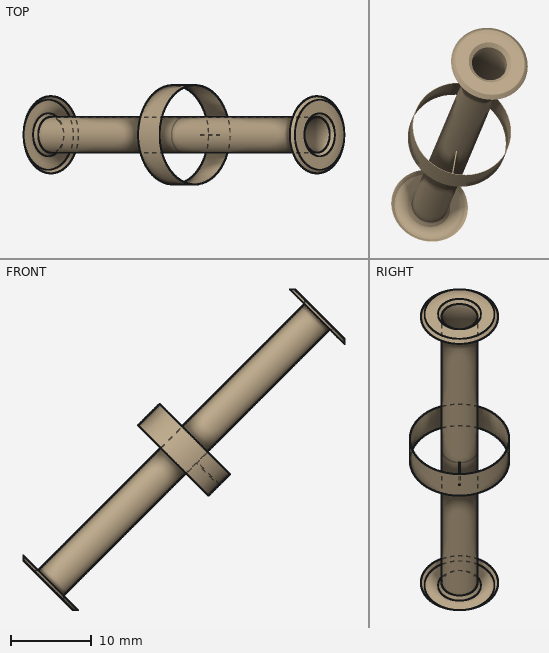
import cadquery as cq
import math

overall_length = 39.8
lean_angle = 45.0

wall = 0.06
tube_radius = 4.5 / 2
rim_radius = 4.8
dish_depth = 0.48

band_radius = 12.37 / 2
band_width = 3.78
spoke_diameter = 0.15

rim_height = overall_length / 2 / math.sin(math.radians(lean_angle)) - rim_radius
face_height = rim_height + dish_depth
face_outer_radius = rim_radius - dish_depth
face_inner_radius = tube_radius - wall + dish_depth


def make_flanged_tube():
    """Half of the wall section, revolved about Z and mirrored to the other end.

    Both cones slope at 45 degrees, so the dish has a constant axial thickness.
    """
    upper_half = (
        cq.Workplane("XZ")
        .moveTo(tube_radius, 0)
        .lineTo(tube_radius, rim_height)
        .lineTo(face_inner_radius, face_height - wall)
        .lineTo(face_outer_radius, face_height - wall)
        .lineTo(rim_radius - wall, rim_height)
        .lineTo(rim_radius, rim_height)
        .lineTo(face_outer_radius, face_height)
        .lineTo(face_inner_radius, face_height)
        .lineTo(tube_radius - wall, rim_height)
        .lineTo(tube_radius - wall, 0)
        .close()
        .revolve(360, (0, 0, 0), (0, 1, 0))
    )
    return upper_half.union(upper_half.mirror("XY"))


def make_band():
    """Plain open ring, centred on the tube."""
    return (
        cq.Workplane("XY", origin=(0, 0, -band_width / 2))
        .circle(band_radius)
        .circle(band_radius - wall)
        .extrude(band_width)
    )


def make_spoke():
    """Fine wire that joins the band to the tube on the underside."""
    inner_end = tube_radius - wall / 2
    outer_end = band_radius - wall / 2
    return (
        cq.Workplane("YZ", origin=(inner_end, 0, 0))
        .circle(spoke_diameter / 2)
        .extrude(outer_end - inner_end)
    )


upright = make_flanged_tube().union(make_band()).union(make_spoke()).clean()
result = upright.rotate((0, 0, 0), (0, 1, 0), lean_angle)